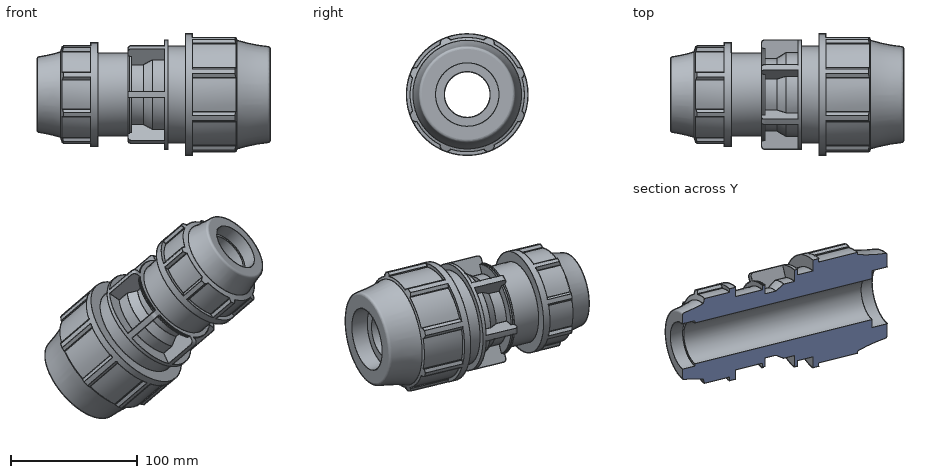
import cadquery as cq
import math

LENGTH = 184.0
NUT_RIB_COUNT = 8
BODY_RIB_COUNT = 6

WASHER_START = 71.5
WASHER_END = 74.3
NECK_TAPER_START = 83.7
NECK_TAPER_END = 90.9
COLLAR_START = 100.5
COLLAR_END = 103.5

SMALL_BARREL_DIAMETER = 65.7
WASHER_DIAMETER = 73.6
WASHER_LIP_DIAMETER = 72.5
SMALL_NECK_DIAMETER = 57.5
LARGE_NECK_DIAMETER = 66.2
COLLAR_DIAMETER = 86.5
LARGE_BARREL_DIAMETER = 76.7

WASHER_LIP_WIDTH = 1.3
BODY_RIB_THICKNESS = 5.0
BODY_RIB_ROUNDING = 3.0

SMALL_NUT = {
    "mouth_radius": 29.6,
    "mouth_rounding": 1.8,
    "cone_length": 18.4,
    "cone_radius": 33.7,
    "cone_sag": 0.4,
    "grip_radius": 37.9,
    "flange_start": 42.1,
    "flange_end": 47.8,
    "flange_radius": 82.0 / 2,
    "rib_tip_width": 3.7,
    "rib_root_width": 6.5,
    "rib_root_height": 0.5,
    "bore_diameter": 40.0,
    "bore_depth": 11.0,
}
LARGE_NUT = {
    "mouth_radius": 37.7,
    "mouth_rounding": 2.2,
    "cone_length": 26.3,
    "cone_radius": 42.9,
    "cone_sag": 0.7,
    "grip_radius": 45.0,
    "flange_start": 61.5,
    "flange_end": 67.0,
    "flange_radius": 96.0 / 2,
    "rib_tip_width": 4.0,
    "rib_root_width": 8.5,
    "rib_root_height": 1.0,
    "bore_diameter": 50.0,
    "bore_depth": 13.8,
}
WATERWAY_DIAMETER = 35.9

SHOULDER_SLOPE = 0.33


def cylinder(start, end, diameter):
    return cq.Workplane("YZ", origin=(start, 0, 0)).circle(diameter / 2).extrude(end - start)


def revolve(profile):
    return profile.close().revolve(360, (0, 0, 0), (1, 0, 0))


def repeat_about_axis(solid, count, first_angle, step):
    pattern = solid.rotate((0, 0, 0), (1, 0, 0), first_angle)
    for i in range(1, count):
        angle = first_angle + i * step
        pattern = pattern.union(solid.rotate((0, 0, 0), (1, 0, 0), angle))
    return pattern


def make_nut_cone(nut):
    """Concave cone with a rounded mouth at X = 0."""
    mouth, base, length = nut["mouth_radius"], nut["cone_radius"], nut["cone_length"]
    middle = (length / 2, (mouth + base) / 2 - nut["cone_sag"])
    profile = (
        cq.Workplane("XY")
        .lineTo(0, mouth)
        .threePointArc(middle, (length, base))
        .lineTo(nut["flange_start"], base)
        .lineTo(nut["flange_start"], 0)
    )
    return revolve(profile).faces("<X").edges().fillet(nut["mouth_rounding"])


def make_nut_grip(nut):
    """Grip with tapered ribs, its outer end cut by one sloping shoulder across barrel and ribs."""
    start, end = nut["cone_length"], nut["flange_start"]
    tip, root = nut["rib_tip_width"] / 2, nut["rib_root_width"] / 2
    foot = math.sqrt(nut["grip_radius"] ** 2 - root**2)
    flank_start = foot + nut["rib_root_height"]
    ridge = (
        cq.Workplane("YZ", origin=(start, 0, 0))
        .lineTo(root, foot)
        .lineTo(root, flank_start)
        .lineTo(tip, nut["flange_radius"])
        .lineTo(-tip, nut["flange_radius"])
        .lineTo(-root, flank_start)
        .lineTo(-root, foot)
        .close()
        .extrude(end - start)
    )
    grip = cylinder(start, end, 2 * nut["grip_radius"])
    step = 360 / NUT_RIB_COUNT
    grip = grip.union(repeat_about_axis(ridge, NUT_RIB_COUNT, step / 2, step))
    shoulder_length = (nut["flange_radius"] - nut["cone_radius"]) * SHOULDER_SLOPE
    envelope = (
        cq.Workplane("XY")
        .moveTo(start, 0)
        .lineTo(start, nut["cone_radius"])
        .lineTo(start + shoulder_length, nut["flange_radius"])
        .lineTo(end, nut["flange_radius"])
        .lineTo(end, 0)
    )
    return grip.intersect(revolve(envelope))


def make_nut(nut):
    flange = cylinder(nut["flange_start"], nut["flange_end"], 2 * nut["flange_radius"])
    return make_nut_cone(nut).union(make_nut_grip(nut)).union(flange)


def turn_to_far_end(solid):
    return solid.mirror("YZ").translate((LENGTH, 0, 0))


def make_central_body():
    small_end = SMALL_NUT["flange_end"]
    large_end = LENGTH - LARGE_NUT["flange_end"]
    lip_end = WASHER_START + WASHER_LIP_WIDTH
    profile = (
        cq.Workplane("XY")
        .moveTo(small_end, 0)
        .lineTo(small_end, SMALL_BARREL_DIAMETER / 2)
        .lineTo(WASHER_START, SMALL_BARREL_DIAMETER / 2)
        .lineTo(WASHER_START, WASHER_DIAMETER / 2)
        .lineTo(lip_end, WASHER_DIAMETER / 2)
        .lineTo(lip_end, WASHER_LIP_DIAMETER / 2)
        .lineTo(WASHER_END, WASHER_LIP_DIAMETER / 2)
        .lineTo(WASHER_END, SMALL_NECK_DIAMETER / 2)
        .lineTo(NECK_TAPER_START, SMALL_NECK_DIAMETER / 2)
        .lineTo(NECK_TAPER_END, LARGE_NECK_DIAMETER / 2)
        .lineTo(COLLAR_START, LARGE_NECK_DIAMETER / 2)
        .lineTo(COLLAR_START, COLLAR_DIAMETER / 2)
        .lineTo(COLLAR_END, COLLAR_DIAMETER / 2)
        .lineTo(COLLAR_END, LARGE_BARREL_DIAMETER / 2)
        .lineTo(large_end, LARGE_BARREL_DIAMETER / 2)
        .lineTo(large_end, 0)
    )
    return revolve(profile)


def make_body_ribs():
    """Flat radial ribs bridging the neck between the washer and the collar."""
    length = COLLAR_START - WASHER_START
    plate = (
        cq.Workplane("XY")
        .box(length, COLLAR_DIAMETER, BODY_RIB_THICKNESS)
        .translate((WASHER_START + length / 2, 0, 0))
    )
    ribs = repeat_about_axis(plate, BODY_RIB_COUNT // 2, 0, 360 / BODY_RIB_COUNT)
    envelope = cylinder(WASHER_START, COLLAR_START, COLLAR_DIAMETER)
    return ribs.intersect(envelope.faces("<X").edges().fillet(BODY_RIB_ROUNDING))


def make_bores():
    waterway = cylinder(0, LENGTH, WATERWAY_DIAMETER)
    small_socket = cylinder(0, SMALL_NUT["bore_depth"], SMALL_NUT["bore_diameter"])
    large_socket = cylinder(0, LARGE_NUT["bore_depth"], LARGE_NUT["bore_diameter"])
    return waterway.union(small_socket).union(turn_to_far_end(large_socket))


result = make_central_body().union(make_body_ribs())
result = result.union(make_nut(SMALL_NUT)).union(turn_to_far_end(make_nut(LARGE_NUT)))
result = result.cut(make_bores())